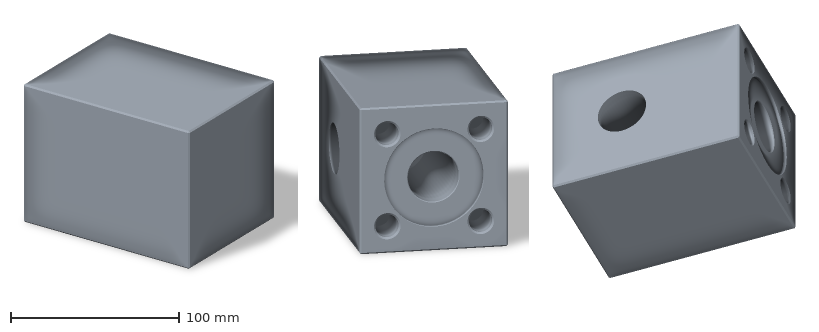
import cadquery as cq

length = 120.0
width = 90.0
edge_chamfer = 1.0

bore_diameter = 31.0
bore_radius = bore_diameter / 2
bore_chamfer = 0.5
outlet_x = length / 2 - width / 2

inlet_x = -length / 2
recess_diameter = 60.1
recess_depth = 2.0
recess_chamfer = 0.2
bolt_spacing = 56.8
bolt_diameter = 14.0
bolt_depth = 26.4
bolt_chamfer = 1.1


def inlet_cylinder(diameter, depth, y=0.0, z=0.0):
    """Cylinder reaching from the inlet face into the block along +X."""
    start = cq.Vector(inlet_x, y, z)
    return cq.Workplane(cq.Solid.makeCylinder(diameter / 2, depth, start, cq.Vector(1, 0, 0)))


def bevelled_mouth(diameter, chamfer, x, y=0.0, z=0.0):
    """45 degree cone that narrows along +X from the widened mouth to the given diameter."""
    start = cq.Vector(x, y, z)
    radius = diameter / 2
    return cq.Workplane(cq.Solid.makeCone(radius + chamfer, radius, chamfer, start, cq.Vector(1, 0, 0)))


def bolt_hole(y, z):
    """Blind bolt hole with a countersink at its mouth."""
    hole = inlet_cylinder(bolt_diameter, bolt_depth, y, z)
    return hole.union(bevelled_mouth(bolt_diameter, bolt_chamfer, inlet_x, y, z))


def flow_passage():
    """Mitred right-angle passage, open on the -X and +Y faces, with a bevelled inlet mouth."""
    path = cq.Workplane("XY").moveTo(inlet_x, 0).lineTo(outlet_x, 0).lineTo(outlet_x, width / 2)
    bore = cq.Workplane("YZ", origin=(inlet_x, 0, 0)).circle(bore_radius).sweep(path, transition="right")
    return bore.union(bevelled_mouth(bore_diameter, bore_chamfer, inlet_x + recess_depth))


def seal_recess():
    """Shallow round recess around the inlet, with a bevelled rim."""
    recess = inlet_cylinder(recess_diameter, recess_depth)
    return recess.union(bevelled_mouth(recess_diameter, recess_chamfer, inlet_x))


result = cq.Workplane("XY").box(length, width, width).edges().chamfer(edge_chamfer)
result = result.cut(seal_recess())
result = result.cut(flow_passage())

for y_side in (-1, 1):
    for z_side in (-1, 1):
        result = result.cut(bolt_hole(y_side * bolt_spacing / 2, z_side * bolt_spacing / 2))